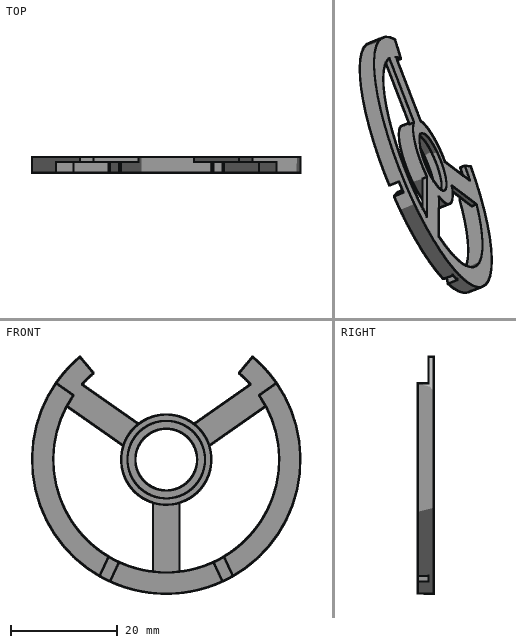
import cadquery as cq
import math

THICKNESS = 3.0
WEB = 1.0
FRONT_DEPTH = THICKNESS - WEB

RIM_OUTER_RADIUS = 25.1
RIM_INNER_RADIUS = 21.1

HUB_DIAMETER = 16.9
BORE_DIAMETER = 11.5
SEAT_DIAMETER = 14.5

SPOKE_WIDTH = 5.0

LEFT = 180.0
DOWN = 270.0
UPPER_SPOKE_ANGLE = 35.0
TAB_SPAN = 15.0
TAB_END_ANGLE = UPPER_SPOKE_ANGLE + TAB_SPAN
SLOT_ANGLE = 25.0

CLEARANCE = 0.1
SLOT_WIDTH = 2.0 + 2 * CLEARANCE
CUTTER_REACH = RIM_OUTER_RADIUS + 1.0
TAB_RELIEF_WIDTH = 12.0


def front_plane(depth):
    """Sketch plane facing -Y, set the given depth in front of the back face."""
    return cq.Workplane("XZ", origin=(0, THICKNESS - depth, 0))


def polar(radius, angle):
    """Point at a radius and an angle in degrees."""
    radians = math.radians(angle)
    return radius * math.cos(radians), radius * math.sin(radians)


def make_open_rim():
    """Full-thickness rim, open at the top between the two tab ends."""
    start = LEFT - TAB_END_ANGLE
    end = TAB_END_ANGLE
    return (
        front_plane(0)
        .moveTo(*polar(RIM_INNER_RADIUS, start))
        .lineTo(*polar(RIM_OUTER_RADIUS, start))
        .threePointArc(polar(RIM_OUTER_RADIUS, DOWN), polar(RIM_OUTER_RADIUS, end))
        .lineTo(*polar(RIM_INNER_RADIUS, end))
        .threePointArc(polar(RIM_INNER_RADIUS, DOWN), polar(RIM_INNER_RADIUS, start))
        .close()
        .extrude(THICKNESS)
    )


def turn(body, angle):
    """Turn a body about the wheel axis, counterclockwise as seen from the front."""
    return body.rotate((0, 0, 0), (0, 1, 0), -angle)


def front_notch(angle, width):
    """Cutter in front of the web, from the wheel axis outward along an angle.

    One long side lies a clearance clockwise of the radial line, the other
    lies a full width counterclockwise of the first.
    """
    notch = (
        front_plane(WEB)
        .moveTo(0, -CLEARANCE)
        .rect(CUTTER_REACH, width, centered=False)
        .extrude(FRONT_DEPTH)
    )
    return turn(notch, angle)


def make_rim():
    """Open rim with two slots near the bottom and the tabs thinned to the web."""
    slot = front_notch(DOWN + SLOT_ANGLE, SLOT_WIDTH)
    relief = front_notch(UPPER_SPOKE_ANGLE, TAB_RELIEF_WIDTH)
    rim = make_open_rim()
    for cutter in (slot, relief):
        rim = rim.cut(cutter).cut(cutter.mirror("YZ"))
    return rim


def make_spoke(angle):
    """Flat spoke from the wheel axis into the middle of the rim."""
    length = (RIM_INNER_RADIUS + RIM_OUTER_RADIUS) / 2
    spoke = front_plane(0).center(length / 2, 0).rect(length, SPOKE_WIDTH).extrude(WEB)
    return turn(spoke, angle)


def make_wheel():
    """Rim, spokes and hub joined, with the stepped bore through the hub."""
    wheel = make_rim()
    for angle in (UPPER_SPOKE_ANGLE, LEFT - UPPER_SPOKE_ANGLE, DOWN):
        wheel = wheel.union(make_spoke(angle))
    wheel = wheel.union(front_plane(0).circle(HUB_DIAMETER / 2).extrude(THICKNESS))
    wheel = wheel.cut(front_plane(0).circle(BORE_DIAMETER / 2).extrude(THICKNESS))
    return wheel.cut(front_plane(WEB).circle(SEAT_DIAMETER / 2).extrude(FRONT_DEPTH))


result = make_wheel()